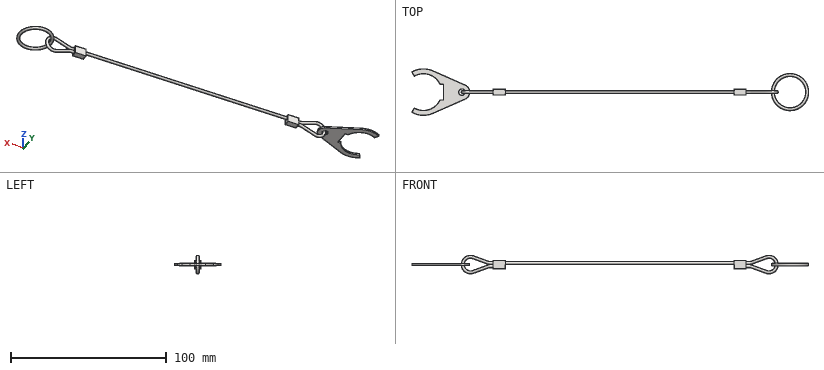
import cadquery as cq
import math


fork_thickness = 1.25
jaw_center_x = -120.05
jaw_inner_radius = 11.75
jaw_outer_radius = 15.0
jaw_end_angle = math.radians(120)
notch_bottom_x = -107.3
notch_half_width = 5.0
eyelet_x = -95.3
eyelet_outer_radius = 5.0
eyelet_hole_radius = 2.0

rope_radius = 1.0
strand_offset = 1.05
rope_middle_x = 6.1
eye_center_distance = 95.9
eye_outer_radius = 6.0
neck_bend_radius = 4.5
neck_length = 2.1
ferrule_outer_distance = 81.3
ferrule_length = 7.8
ferrule_width = 4.0
ferrule_height = 5.5
strand_embed = 1.0

ring_outer_radius = 12.0
ring_wire_radius = 1.0
ring_outer_x = 127.55


def polar(center_x, radius, angle):
    return (center_x + radius * math.cos(angle), radius * math.sin(angle))


def mirrored(point):
    return (point[0], -point[1])


def build_fork():
    """Flat plate: an open circular jaw whose flanks run tangentially into a round eyelet."""
    flank_angle = math.acos((jaw_outer_radius - eyelet_outer_radius) / (eyelet_x - jaw_center_x))
    jaw_tangent = polar(jaw_center_x, jaw_outer_radius, flank_angle)
    eyelet_tangent = polar(eyelet_x, eyelet_outer_radius, flank_angle)
    arm_outer = polar(jaw_center_x, jaw_outer_radius, jaw_end_angle)
    arm_inner = polar(jaw_center_x, jaw_inner_radius, jaw_end_angle)
    arm_top = (jaw_center_x, jaw_outer_radius)
    jaw_bottom = (jaw_center_x + jaw_inner_radius, 0)
    eyelet_tip = (eyelet_x + eyelet_outer_radius, 0)

    plate = (
        cq.Workplane("XY")
        .workplane(offset=-fork_thickness / 2)
        .moveTo(*arm_outer)
        .threePointArc(arm_top, jaw_tangent)
        .lineTo(*eyelet_tangent)
        .threePointArc(eyelet_tip, mirrored(eyelet_tangent))
        .lineTo(*mirrored(jaw_tangent))
        .threePointArc(mirrored(arm_top), mirrored(arm_outer))
        .lineTo(*mirrored(arm_inner))
        .threePointArc(jaw_bottom, arm_inner)
        .close()
        .extrude(fork_thickness)
    )
    notch_length = notch_bottom_x - jaw_center_x
    notch = (
        cq.Workplane("XY")
        .center(jaw_center_x + notch_length / 2, 0)
        .rect(notch_length, 2 * notch_half_width)
        .extrude(fork_thickness, both=True)
    )
    hole = (
        cq.Workplane("XY")
        .center(eyelet_x, 0)
        .circle(eyelet_hole_radius)
        .extrude(fork_thickness, both=True)
    )
    return plate.cut(notch).cut(hole)


def build_eye():
    """Teardrop rope eye at the +X end, in coordinates measured from the rope middle."""
    eye_radius = eye_outer_radius - rope_radius
    bend_x = ferrule_outer_distance + neck_length
    bend_z = strand_offset + neck_bend_radius

    reach = eye_center_distance - bend_x
    center_distance = math.hypot(reach, bend_z)
    leg_angle = math.atan2(bend_z, reach) + math.acos((eye_radius + neck_bend_radius) / center_distance)
    leg_normal = (-math.cos(leg_angle), math.sin(leg_angle))
    half_angle = (math.pi / 2 - leg_angle) / 2

    start_x = ferrule_outer_distance - strand_embed
    neck_start = (start_x, strand_offset)
    bend_start = (bend_x, strand_offset)
    bend_middle = (
        bend_x + neck_bend_radius * math.sin(half_angle),
        bend_z - neck_bend_radius * math.cos(half_angle),
    )
    bend_end = (bend_x - neck_bend_radius * leg_normal[0], bend_z - neck_bend_radius * leg_normal[1])
    eye_start = (eye_center_distance + eye_radius * leg_normal[0], eye_radius * leg_normal[1])
    eye_tip = (eye_center_distance + eye_radius, 0)

    path = (
        cq.Workplane("XZ")
        .moveTo(*neck_start)
        .lineTo(*bend_start)
        .threePointArc(bend_middle, bend_end)
        .lineTo(*eye_start)
        .threePointArc(eye_tip, mirrored(eye_start))
        .lineTo(*mirrored(bend_end))
        .threePointArc(mirrored(bend_middle), mirrored(bend_start))
        .lineTo(*mirrored(neck_start))
    )
    return (
        cq.Workplane("YZ")
        .workplane(offset=start_x)
        .center(0, strand_offset)
        .circle(rope_radius)
        .sweep(path)
    )


def build_ferrule():
    """Rectangular crimp sleeve at the +X end, measured from the rope middle."""
    return cq.Workplane("XY").box(ferrule_length, ferrule_width, ferrule_height).translate(
        (ferrule_outer_distance - ferrule_length / 2, 0, 0)
    )


def build_rope():
    """Straight rope, in line with the upper strands, with a ferrule and an eye at each end."""
    half_length = ferrule_outer_distance - ferrule_length / 2
    rope = (
        cq.Workplane("YZ")
        .center(0, strand_offset)
        .circle(rope_radius)
        .extrude(half_length, both=True)
    )
    end_fitting = build_ferrule().union(build_eye())
    for fitting in (end_fitting, end_fitting.mirror("YZ")):
        rope = rope.union(fitting)
    return rope.translate((rope_middle_x, 0, 0))


def build_ring():
    """Plain round-wire ring lying flat in the XY plane."""
    wire_circle_radius = ring_outer_radius - ring_wire_radius
    ring = cq.Solid.makeTorus(wire_circle_radius, ring_wire_radius)
    return cq.Workplane(ring).translate((ring_outer_x - ring_outer_radius, 0, 0))


fork = build_fork()
rope = build_rope()
ring = build_ring()

result = cq.Compound.makeCompound([fork.val(), rope.val(), ring.val()])